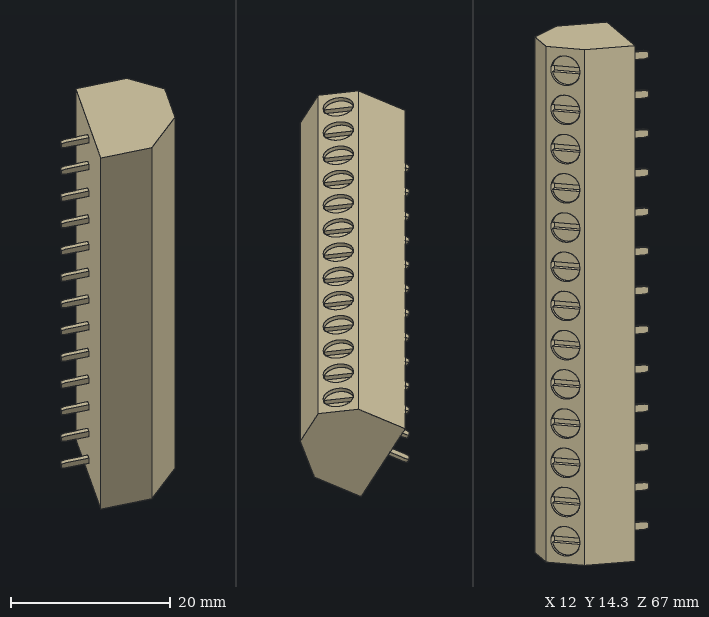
import cadquery as cq

body_width = 12.0
body_height = 66.95
total_depth = 14.3
pin_length = 3.55
body_depth = total_depth - pin_length

shoulder_depth = 4.15
screw_shoulder_width = 2.95
plain_shoulder_width = shoulder_depth

pole_count = 13
pole_pitch = 5.1
end_margin = (body_height - (pole_count - 1) * pole_pitch) / 2

pin_thickness = 0.55
pin_height = 1.0
pin_tip_taper = 0.15
pin_tip_length = 0.55

screw_diameter = 3.8
screw_recess = 0.55
slot_width = 0.8
slot_depth = 0.8
slot_floor = screw_recess + slot_depth

half_width = body_width / 2
shoulder_start = body_depth - shoulder_depth


def make_body():
    """Six-sided prism with its front face on Y = 0."""
    outline = [
        (-half_width, 0),
        (half_width, 0),
        (half_width, shoulder_start),
        (half_width - plain_shoulder_width, body_depth),
        (-half_width + screw_shoulder_width, body_depth),
        (-half_width, shoulder_start),
    ]
    return cq.Workplane("XY").polyline(outline).close().extrude(body_height)


def make_pin(z):
    """Flat pin pointing to -Y, tapered in height at its tip."""
    half_height = pin_height / 2
    tip_half_height = half_height - pin_tip_taper
    taper_start = -pin_length + pin_tip_length
    profile = [
        (0, z - half_height),
        (0, z + half_height),
        (taper_start, z + half_height),
        (-pin_length, z + tip_half_height),
        (-pin_length, z - tip_half_height),
        (taper_start, z - half_height),
    ]
    return cq.Workplane("YZ").polyline(profile).close().extrude(pin_thickness / 2, both=True)


def make_screw_cut(z):
    """Round recess square to the -X shoulder, with a driver slot across its floor."""
    shoulder_plane = cq.Plane(
        origin=(-half_width + screw_shoulder_width / 2, body_depth - shoulder_depth / 2, z),
        xDir=(screw_shoulder_width, shoulder_depth, 0),
        normal=(-shoulder_depth, screw_shoulder_width, 0),
    )
    screw_radius = screw_diameter / 2
    recess = cq.Workplane(shoulder_plane).circle(screw_radius).extrude(-screw_recess)
    screw_bore = cq.Workplane(shoulder_plane).circle(screw_radius).extrude(-slot_floor)
    slot_block = cq.Workplane(shoulder_plane).rect(screw_diameter, slot_width).extrude(-slot_floor)
    return recess.union(slot_block.intersect(screw_bore))


result = make_body()
for pole in range(pole_count):
    pole_z = end_margin + pole * pole_pitch
    result = result.union(make_pin(pole_z))
    result = result.cut(make_screw_cut(pole_z))